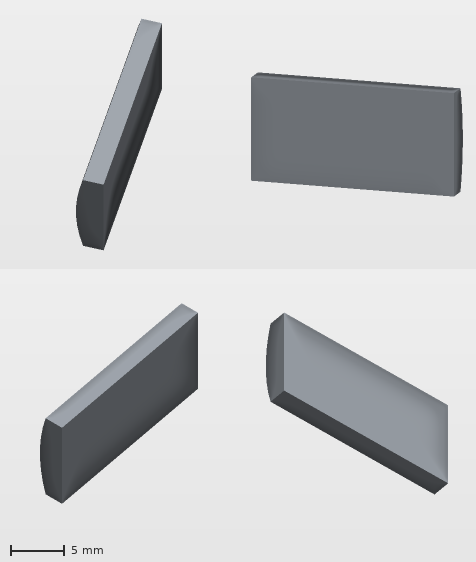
import cadquery as cq

thickness = 2.7
length = 20.0
height = 10.0
edge_thickness = 2.0

back_x = thickness / 2
crown_x = back_x - thickness
edge_x = back_x - edge_thickness
half_height = height / 2

result = (
    cq.Workplane("XZ")
    .moveTo(back_x, -half_height)
    .lineTo(back_x, half_height)
    .lineTo(edge_x, half_height)
    .threePointArc((crown_x, 0), (edge_x, -half_height))
    .close()
    .extrude(length / 2, both=True)
)